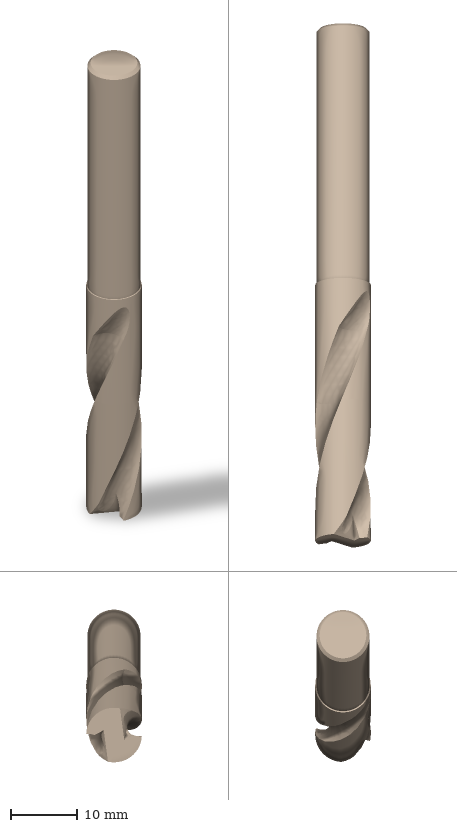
import cadquery as cq
import math

TOTAL_LENGTH = 80
CUT_DIAMETER = 8.4
SHANK_DIAMETER = 8.0
CUT_LENGTH = 21.1
NECK_TOP = 40.0
SHANK_CHAMFER = 0.5

FLUTE_COUNT = 2
FLUTE_PITCH = 65.1
FLUTE_RADIUS = 2.6
CORE_RADIUS = 2.0
TIP_ANGLE = 94.6
HELIX_TOP = 32.5
RUNOUT_TOP = 38.5
RUNOUT_TURN = 35.0

GASH_HEIGHT = 3.5
GASH_LOW_CORNER = (1.5, -0.8)
GASH_LOW_FLOOR_ANGLE = 209
GASH_LOW_WALL_ANGLE = 278
GASH_HIGH_CORNER = (1.0, -1.7)
GASH_HIGH_FLOOR_ANGLE = 236
GASH_HIGH_WALL_ANGLE = 300
GASH_REACH = CUT_DIAMETER

CUT_RADIUS = CUT_DIAMETER / 2
HELIX_TURN = 360 * HELIX_TOP / FLUTE_PITCH


def flute_circle(center_radius, angle, z):
    """Flute section at height z, its centre at the given polar position."""
    x = center_radius * math.cos(math.radians(angle))
    y = center_radius * math.sin(math.radians(angle))
    return cq.Workplane("XY").workplane(offset=z).moveTo(x, y).circle(FLUTE_RADIUS)


def helical_flute(start_angle):
    """Groove that twists about the axis from the tip to the run-out."""
    section = flute_circle(CORE_RADIUS + FLUTE_RADIUS, start_angle, 0)
    return section.twistExtrude(HELIX_TOP, HELIX_TURN)


def flute_runout(start_angle):
    """Straight slanted groove that leads the flute out to the surface."""
    low_angle = start_angle + HELIX_TURN
    low = flute_circle(CORE_RADIUS + FLUTE_RADIUS, low_angle, HELIX_TOP)
    high = flute_circle(CUT_RADIUS + FLUTE_RADIUS, low_angle + RUNOUT_TURN, RUNOUT_TOP)
    return cq.Workplane(cq.Solid.makeLoft([low.val(), high.val()], True))


def gash_outline(corner_point, floor_angle, wall_angle, z):
    """Triangular notch outline at height z."""
    corner = cq.Vector(*corner_point, z)
    points = [corner]
    for angle in (floor_angle, wall_angle):
        direction = cq.Vector(math.cos(math.radians(angle)), math.sin(math.radians(angle)), 0)
        points.append(corner + direction * GASH_REACH)
    return cq.Wire.makePolygon(points, close=True)


def gash(turn):
    """Notch cutter, turned about the axis by the given angle."""
    low = gash_outline(GASH_LOW_CORNER, GASH_LOW_FLOOR_ANGLE, GASH_LOW_WALL_ANGLE, 0)
    high = gash_outline(GASH_HIGH_CORNER, GASH_HIGH_FLOOR_ANGLE, GASH_HIGH_WALL_ANGLE, GASH_HEIGHT)
    cutter = cq.Solid.makeLoft([low, high], True)
    return cq.Workplane(cutter).rotate((0, 0, 0), (0, 0, 1), turn)


def make_cutting_body():
    body = cq.Workplane("XY").circle(CUT_RADIUS).extrude(CUT_LENGTH)
    for i in range(FLUTE_COUNT):
        turn = 360 * i / FLUTE_COUNT
        body = body.cut(helical_flute(TIP_ANGLE + turn)).cut(gash(turn))
    return body


def make_shank_body():
    neck = cq.Workplane("XY").workplane(offset=CUT_LENGTH).circle(CUT_RADIUS)
    neck = neck.extrude(NECK_TOP - CUT_LENGTH)
    shank = cq.Workplane("XY").workplane(offset=NECK_TOP).circle(SHANK_DIAMETER / 2)
    shank = shank.extrude(TOTAL_LENGTH - NECK_TOP).faces(">Z").chamfer(SHANK_CHAMFER)
    body = neck.union(shank)
    for i in range(FLUTE_COUNT):
        start = TIP_ANGLE + 360 * i / FLUTE_COUNT
        body = body.cut(helical_flute(start)).cut(flute_runout(start))
    return body


cutting_body = make_cutting_body()
shank_body = make_shank_body()
result = cq.Compound.makeCompound([cutting_body.val(), shank_body.val()])